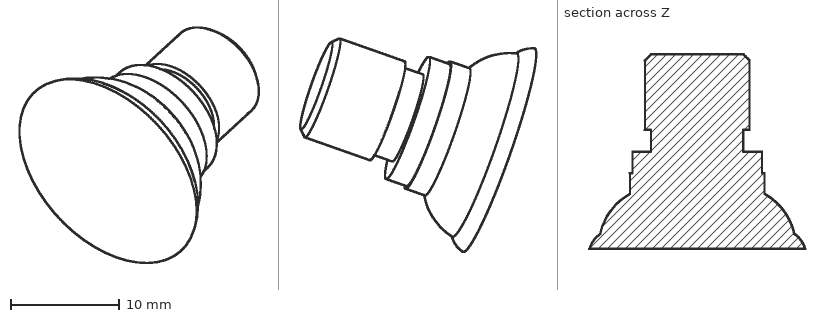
import cadquery as cq

overall_length = 18.0
base_radius = 20.0 / 2
pin_radius = 9.72 / 2
neck_radius = 8.55 / 2
upper_collar_radius = 12.0 / 2
lower_collar_radius = 12.5 / 2
dome_foot_radius = 9.0
pin_chamfer = 0.58

rim_top = 1.4
dome_top = 5.1
lower_collar_top = 7.0
upper_collar_top = 9.0
neck_top = 11.0

rim_arc_point = (9.72, 0.65)
dome_arc_point = (8.05, 3.5)

profile = (
    cq.Workplane("XY")
    .lineTo(base_radius, 0)
    .threePointArc(rim_arc_point, (dome_foot_radius, rim_top))
    .threePointArc(dome_arc_point, (lower_collar_radius, dome_top))
    .lineTo(lower_collar_radius, lower_collar_top)
    .lineTo(upper_collar_radius, lower_collar_top)
    .lineTo(upper_collar_radius, upper_collar_top)
    .lineTo(neck_radius, upper_collar_top)
    .lineTo(neck_radius, neck_top)
    .lineTo(pin_radius, neck_top)
    .lineTo(pin_radius, overall_length - pin_chamfer)
    .lineTo(pin_radius - pin_chamfer, overall_length)
    .lineTo(0, overall_length)
    .close()
)

result = profile.revolve(360, (0, 0, 0), (0, 1, 0))